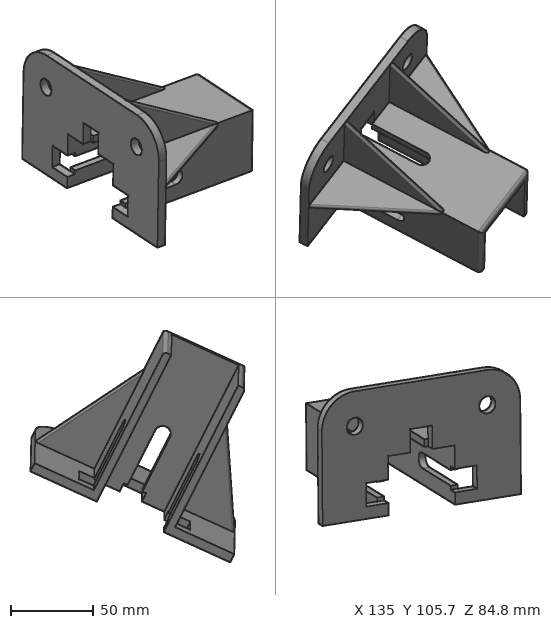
import cadquery as cq

plate_width = 135.0
plate_height = 83.0
plate_thickness = 6.0
corner_radius = 22.4
hole_diameter = 11.0

channel_width = 55.0
opening_width = 45.2
wall = (channel_width - opening_width) / 2
channel_height = 42.9
opening_height = channel_height - wall
channel_end = 105.0
end_fillet = 2.4

window_size = 15.0
side_window_bottom = 8.0
side_slot_height = side_window_bottom + window_size / 2
slot_width = 10.0
slot_end = 50.0

gusset_thickness = 3.0
gusset_tip = 76.8
gusset_setback = 0.3
gusset_fillet = 1.4

tilt_angle = 1.0


def block(size_x, size_y, size_z, x, y, z):
    """Box centred on x, starting at y and z."""
    solid = cq.Workplane("XY").box(size_x, size_y, size_z, centered=(True, False, False))
    return solid.translate((x, y, z))


def make_plate():
    plate = block(plate_width, plate_thickness, plate_height, 0, 0, 0)
    plate = plate.edges("|Y and >Z").fillet(corner_radius)
    hole_x = plate_width / 2 - corner_radius
    hole_z = plate_height - corner_radius
    holes = (
        cq.Workplane("XZ")
        .pushPoints([(-hole_x, hole_z), (hole_x, hole_z)])
        .circle(hole_diameter / 2)
        .extrude(-plate_thickness)
    )
    return plate.cut(holes)


def make_channel():
    channel = block(channel_width, channel_end, channel_height, 0, 0, 0)
    return channel.edges("(>Y and >Z) or (>Y and |Z)").fillet(end_fillet)


def round_slope(gusset, start, end):
    """Round both long edges of the sloping face that runs from start to end."""
    slope_direction = cq.Vector(*end) - cq.Vector(*start)
    slope_edges = cq.selectors.ParallelDirSelector(slope_direction)
    return gusset.edges(slope_edges).fillet(gusset_fillet)


def make_top_gusset():
    """Upright triangle above the channel, flush with its +X side wall."""
    tip = (gusset_tip, channel_height)
    peak = (plate_thickness, plate_height - gusset_setback)
    inner_x = channel_width / 2 - gusset_thickness
    gusset = (
        cq.Workplane("YZ", origin=(inner_x, 0, 0))
        .polyline([tip, peak, (plate_thickness, opening_height), (gusset_tip, opening_height)])
        .close()
        .extrude(gusset_thickness)
    )
    return round_slope(gusset, (0, *tip), (0, *peak))


def make_side_gusset():
    """Level triangle beside the channel on +X, flush with its top."""
    tip = (channel_width / 2, gusset_tip)
    peak = (plate_width / 2 - gusset_setback, plate_thickness)
    inner_x = opening_width / 2
    gusset = (
        cq.Workplane("XY", origin=(0, 0, channel_height - gusset_thickness))
        .polyline([tip, peak, (inner_x, plate_thickness), (inner_x, gusset_tip)])
        .close()
        .extrude(gusset_thickness)
    )
    return round_slope(gusset, (*tip, 0), (*peak, 0))


def make_openings():
    """Everything cut away: channel interior, plate windows and wall slots."""
    openings = block(opening_width, channel_end, opening_height, 0, 0, 0)
    openings = openings.union(block(window_size, plate_thickness, window_size, 0, 0, opening_height))
    span = opening_width + 2 * window_size
    openings = openings.union(block(span, plate_thickness, window_size, 0, 0, side_window_bottom))
    arc_y = slot_end - slot_width / 2
    top_slot = block(slot_width, arc_y, wall, 0, 0, opening_height)
    top_slot = top_slot.union(
        cq.Workplane("XY", origin=(0, arc_y, opening_height)).circle(slot_width / 2).extrude(wall)
    )
    side_slot = block(channel_width, arc_y, slot_width, 0, 0, side_slot_height - slot_width / 2)
    side_slot = side_slot.union(
        cq.Workplane("YZ")
        .center(arc_y, side_slot_height)
        .circle(slot_width / 2)
        .extrude(channel_width / 2, both=True)
    )
    return openings.union(top_slot).union(side_slot)


part = make_plate().union(make_channel())
for gusset in (make_top_gusset(), make_side_gusset()):
    part = part.union(gusset).union(gusset.mirror("YZ"))
part = part.cut(make_openings())
result = part.rotate((0, 0, 0), (1, 0, 0), -tilt_angle)